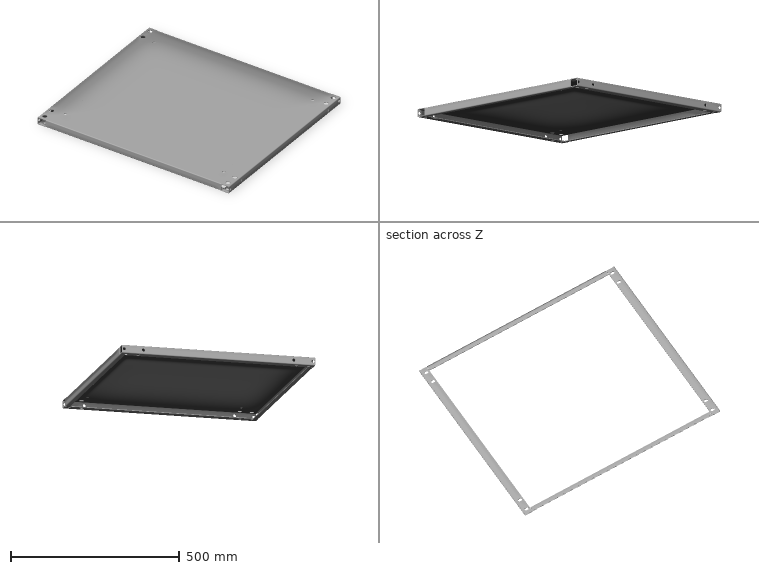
import cadquery as cq

length = 686.0
width = 595.0
height = 25.0
sheet = 2.0
bend_radius = 3.0
side_lip = 27.5
end_lip = 15.0

corner_opening = 29.0
end_wall_length = length - 2 * corner_opening

fixing_diameter = 14.5
fixing_inset_x = 15.0
fixing_insets_y = (16.5, 53.5)
slot_start = 10.0
slot_end = 23.0
slot_width = 8.0

panel_hole_diameter = 8.0
panel_hole_inset_x = 59.0
panel_hole_inset_y = 60.5

wall_hole_diameter = 9.0
wall_hole_insets_y = (7.0, 66.0)

mid_height = height / 2


def bar(plane, across, tall, run):
    """Rectangular bar centred on the origin, running along the normal of the plane."""
    return cq.Workplane(plane).rect(across, tall).extrude(run / 2, both=True)


def folded_section(plane, run_axis, span, run, lip):
    """Top sheet with a wall and a lip on both sides, all bends rounded."""
    bends = "|" + run_axis
    outer = bar(plane, span, height, run).edges(bends).fillet(bend_radius)
    inner = bar(plane, span - 2 * sheet, height - 2 * sheet, run)
    inner = inner.edges(bends).fillet(bend_radius - sheet)
    underside_gap = bar(plane, span - 2 * lip, height, run).translate((0, 0, -mid_height))
    return outer.cut(inner).cut(underside_gap).translate((0, 0, mid_height))


def end_bend_clearance():
    """Strips of the square sheet edge that the bends of the front and back walls replace."""
    strips = bar("XY", end_wall_length, width, height)
    strips = strips.cut(bar("XY", end_wall_length, width - 2 * bend_radius, height))
    return strips.translate((0, 0, mid_height))


def corner_points(inset_x, insets_y):
    """Points at the given edge distances, repeated at all four corners."""
    return [
        (side_x * (length / 2 - inset_x), side_y * (width / 2 - inset_y))
        for side_x in (-1, 1)
        for side_y in (-1, 1)
        for inset_y in insets_y
    ]


def top_sheet_holes(points, diameter):
    level = cq.Workplane("XY", origin=(0, 0, mid_height)).pushPoints(points)
    return level.circle(diameter / 2).extrude(height - mid_height)


def lip_slots():
    points = corner_points((slot_start + slot_end) / 2, fixing_insets_y)
    level = cq.Workplane("XY").pushPoints(points)
    return level.slot2D(slot_end - slot_start, slot_width).extrude(mid_height)


def side_wall_holes():
    points = [
        (side * (width / 2 - inset), mid_height)
        for side in (-1, 1)
        for inset in wall_hole_insets_y
    ]
    level = cq.Workplane("YZ").pushPoints(points)
    return level.circle(wall_hole_diameter / 2).extrude(length / 2, both=True)


side_folds = folded_section("XZ", "Y", length, width, side_lip)
side_folds = side_folds.cut(side_wall_holes()).cut(end_bend_clearance())
end_folds = folded_section("YZ", "X", width, end_wall_length, end_lip)
shelf = side_folds.union(end_folds)

shelf = shelf.cut(top_sheet_holes(corner_points(fixing_inset_x, fixing_insets_y), fixing_diameter))
shelf = shelf.cut(lip_slots())
panel_points = corner_points(panel_hole_inset_x, [panel_hole_inset_y])
result = shelf.cut(top_sheet_holes(panel_points, panel_hole_diameter))